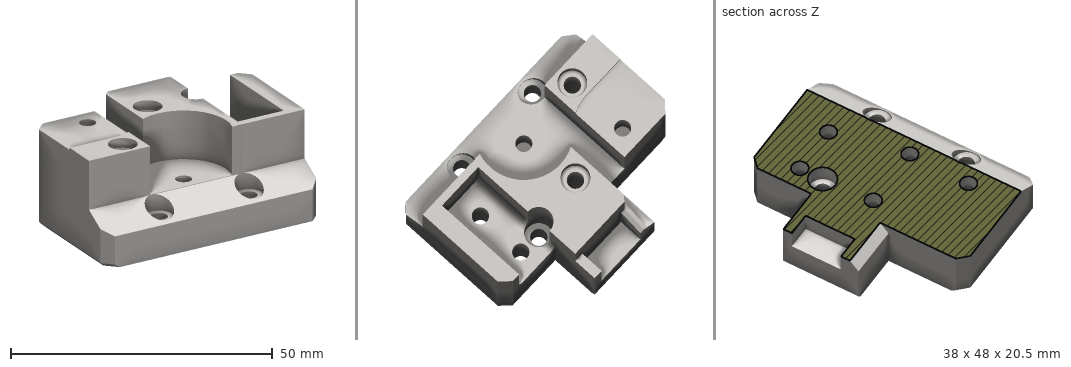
import cadquery as cq
import math

LENGTH_X = 38.0
LENGTH_Y = 48.0
HEIGHT = 20.5

FRONT_LEFT_X = 11.0
BACK_LEFT_X = 10.2
CORNER_CHAMFER = 2.0
BASE_CHAMFER = 0.75
RAMP_START_X = 31.75
FLOOR_Z = 10.35
RAMP_ANGLE = 30.0
RAMP_TOP_Z = 10.25

ARM_FRONT_Y = 17.1
ARM_BACK_Y = 34.0
ARM_FACE_X = 5.05
ARM_BLOCK_FRONT_Y = 19.1
ARM_CORNER_CHAMFER = 1.0
CRADLE_FLOOR_Z = 6.4
CRADLE_TOP_Z = 14.5
CRADLE_FRONT_Y = 21.05
CRADLE_BACK_Y = 32.0

POCKET_END_X = 30.2
POCKET_BACK_Y = 44.2
POCKET_FLOOR_Z = 10.65
POCKET_FILLET = 1.7

CHANNEL_FRONT_Y = 13.6
CLEARANCE_RADIUS = 9.45
STEP_DEPTH = 0.45

SCREW_DIAMETER = 3.3
PIN_DIAMETER = 3.25
PIN_DEPTH = 6.0
BLOCK_BORE_DIAMETER = 5.7
BLOCK_BORE_DEPTH = 2.0
BASE_BORE_DIAMETER = 5.6
BASE_BORE_FLOOR_Z = 6.8

CHANNEL_PIN = (28.45, 23.0)
FRONT_PIN = (15.05, 9.65)
ARM_SCREW = (FRONT_PIN[0], CHANNEL_PIN[1])
FRONT_SCREW = (28.15, FRONT_PIN[1])
BASE_SCREW_LEFT_X = 14.5
BASE_SCREW_RIGHT_X = 34.45
BASE_SCREW_FRONT_Y = 14.0
BASE_SCREWS = [
    (BASE_SCREW_LEFT_X, ARM_BACK_Y),
    (BASE_SCREW_RIGHT_X, ARM_BACK_Y),
    (BASE_SCREW_RIGHT_X, BASE_SCREW_FRONT_Y),
]
POCKET_SCREW_Y = 39.05
POCKET_SCREW_RIGHT_X = 24.95
POCKET_SCREWS = [(BASE_SCREW_LEFT_X, POCKET_SCREW_Y), (POCKET_SCREW_RIGHT_X, POCKET_SCREW_Y)]

SLOPE = math.tan(math.radians(RAMP_ANGLE))


def box(x_range, y_range, z_range):
    """Axis-aligned box between the given limits."""
    (x0, x1), (y0, y1), (z0, z1) = x_range, y_range, z_range
    return cq.Workplane("XY").box(x1 - x0, y1 - y0, z1 - z0, centered=False).translate((x0, y0, z0))


def cylinder(center, diameter, z_bottom, z_top):
    """Vertical cylinder between two heights."""
    base = cq.Workplane("XY", origin=(center[0], center[1], z_bottom))
    return base.circle(diameter / 2).extrude(z_top - z_bottom)


def main_body():
    """Block with chamfered corners, a chamfered front base edge and a ramp along +X."""
    front = box((FRONT_LEFT_X, LENGTH_X), (0, ARM_BACK_Y), (0, HEIGHT))
    front = front.edges("|Z and <Y").chamfer(CORNER_CHAMFER)
    front = front.faces("<Z").edges("not(|Y or >Y)").chamfer(BASE_CHAMFER)

    back = box((BACK_LEFT_X, LENGTH_X), (ARM_BACK_Y, LENGTH_Y), (0, HEIGHT))
    back = back.edges("|Z and >Y").chamfer(CORNER_CHAMFER)

    ramp_end_z = RAMP_TOP_Z - (LENGTH_X - RAMP_START_X) * SLOPE
    above_ramp = (
        cq.Workplane("XZ")
        .moveTo(RAMP_START_X, HEIGHT)
        .lineTo(RAMP_START_X, RAMP_TOP_Z)
        .lineTo(LENGTH_X, ramp_end_z)
        .lineTo(LENGTH_X, HEIGHT)
        .close()
        .extrude(-LENGTH_Y)
    )
    return front.union(back).cut(above_ramp)


def arm():
    """Arm with a raised block and an open cradle at its tip."""
    ledge_width = ARM_BLOCK_FRONT_Y - ARM_FRONT_Y
    base = (
        cq.Workplane("YZ")
        .moveTo(ARM_FRONT_Y, 0)
        .lineTo(ARM_FRONT_Y, FLOOR_Z - ledge_width)
        .lineTo(ARM_BLOCK_FRONT_Y, FLOOR_Z)
        .lineTo(ARM_BLOCK_FRONT_Y, CRADLE_TOP_Z)
        .lineTo(ARM_BACK_Y, CRADLE_TOP_Z)
        .lineTo(ARM_BACK_Y, 0)
        .close()
        .extrude(RAMP_START_X)
    )
    base = base.edges("<X and <Z").chamfer(BASE_CHAMFER)
    base = base.cut(cradle_rim_cut())

    block = box((ARM_FACE_X, RAMP_START_X), (ARM_BLOCK_FRONT_Y, ARM_BACK_Y), (0, HEIGHT))
    block = block.edges("|Z and <X and <Y").chamfer(ARM_CORNER_CHAMFER)

    cradle = box((0, ARM_FACE_X), (CRADLE_FRONT_Y, CRADLE_BACK_Y), (CRADLE_FLOOR_Z, HEIGHT))
    return base.cut(cradle).union(block)


def cradle_rim_cut():
    """Material above the front cradle rim, whose bevelled top climbs toward the block."""
    run = ARM_FACE_X + ARM_CORNER_CHAMFER
    rise = run * SLOPE
    rim_z = FLOOR_Z + ARM_CORNER_CHAMFER / math.cos(math.radians(RAMP_ANGLE))
    bevel_end_y = ARM_BLOCK_FRONT_Y + ARM_CORNER_CHAMFER

    def profile(plane, lift):
        return (
            plane.moveTo(ARM_BLOCK_FRONT_Y, FLOOR_Z + lift)
            .lineTo(bevel_end_y, rim_z + lift)
            .lineTo(CRADLE_FRONT_Y, rim_z + lift)
            .lineTo(CRADLE_FRONT_Y, HEIGHT + lift)
            .lineTo(ARM_BLOCK_FRONT_Y, HEIGHT + lift)
            .close()
        )

    tip = profile(cq.Workplane("YZ"), 0)
    return profile(tip.workplane(offset=run), rise).loft(ruled=True)


def back_pocket():
    """Pocket with rounded floor edges running along X."""
    pocket = box((BACK_LEFT_X, POCKET_END_X), (ARM_BACK_Y, POCKET_BACK_Y), (POCKET_FLOOR_Z, HEIGHT))
    return pocket.edges("|X and <Z").fillet(POCKET_FILLET)


def channel():
    """Cross channel joined by the circular clearance around the channel pin."""
    slot = box((0, LENGTH_X), (CHANNEL_FRONT_Y, ARM_BLOCK_FRONT_Y), (FLOOR_Z, HEIGHT))
    clearance = cylinder(CHANNEL_PIN, 2 * CLEARANCE_RADIUS, FLOOR_Z, HEIGHT)
    beside = box((0, LENGTH_X), (CHANNEL_FRONT_Y, LENGTH_Y), (FLOOR_Z, HEIGHT))
    return slot.union(clearance.intersect(beside))


def front_step():
    """Shallow step on the front block, bounded by a circle around the front pin."""
    step_z = HEIGHT - STEP_DEPTH
    straight = box((0, FRONT_PIN[0] + CLEARANCE_RADIUS), (0, FRONT_PIN[1]), (step_z, HEIGHT))
    round_end = cylinder(FRONT_PIN, 2 * CLEARANCE_RADIUS, step_z, HEIGHT)
    front_block = box((0, LENGTH_X), (0, CHANNEL_FRONT_Y), (step_z, HEIGHT))
    return straight.union(round_end).intersect(front_block)


result = main_body().union(arm())
result = result.cut(back_pocket()).cut(channel()).cut(front_step())

for screw in BASE_SCREWS + POCKET_SCREWS + [ARM_SCREW, FRONT_SCREW]:
    result = result.cut(cylinder(screw, SCREW_DIAMETER, 0, HEIGHT))
for screw in BASE_SCREWS:
    result = result.cut(cylinder(screw, BASE_BORE_DIAMETER, BASE_BORE_FLOOR_Z, HEIGHT))
for screw in (ARM_SCREW, FRONT_SCREW):
    result = result.cut(cylinder(screw, BLOCK_BORE_DIAMETER, HEIGHT - BLOCK_BORE_DEPTH, HEIGHT))
for pin, top_z in ((CHANNEL_PIN, FLOOR_Z), (FRONT_PIN, HEIGHT)):
    result = result.cut(cylinder(pin, PIN_DIAMETER, top_z - PIN_DEPTH, top_z))